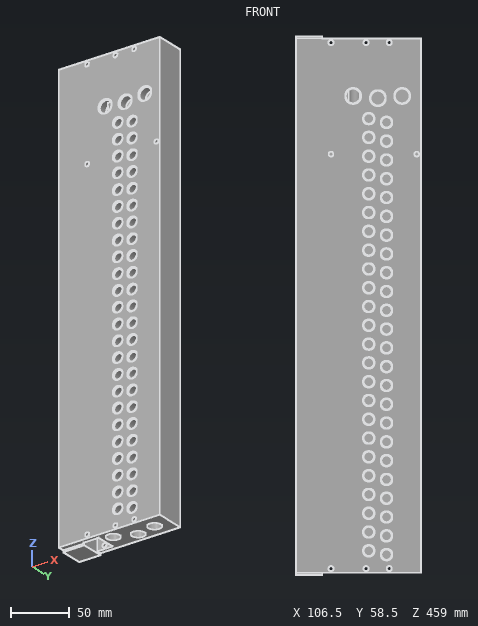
import cadquery as cq


LENGTH = 459.0
BODY_WIDTH = 106.5
BODY_DEPTH = 30.0
END_PAD_HEIGHT = 2.0
BODY_BOTTOM = END_PAD_HEIGHT
BODY_TOP = LENGTH - END_PAD_HEIGHT

CHANNEL_LEFT = 22.5
CHANNEL_RIGHT = 38.5
CHANNEL_FRONT = 5.0
CHANNEL_BACK = 25.2

END_PAD_WIDTH = CHANNEL_LEFT
END_PAD_FRONT = 6.5

BORE_CENTERS = [(49.5, 11.0), (69.8, 19.5), (90.0, 15.0)]
BORE_DIAMETER = 9.5
PORT_DIAMETER = 13.0
PORT_DEPTH = 11.5

UPPER_HOLE_Z = 408.0
MIDDLE_HOLE_DROP = 2.0
LARGE_HOLE_CENTERS = [(48.5, UPPER_HOLE_Z), (69.8, UPPER_HOLE_Z - MIDDLE_HOLE_DROP), (90.5, UPPER_HOLE_Z)]
LARGE_HOLE_DIAMETER = 12.5
FRONT_HOLE_DEPTH = 10.0

MOUTH_DEPTH = 1.5
MOUTH_EXTRA_DIAMETER = 1.5

OUTLET_COLUMNS = [(62.0, 389.0), (77.0, 385.5)]
OUTLET_COUNT = 24
OUTLET_COLUMN_SPAN = 368.0
OUTLET_PITCH = OUTLET_COLUMN_SPAN / (OUTLET_COUNT - 1)
OUTLET_DIAMETER = 8.5

SCREW_DIAMETER = 4.0
SCREW_EDGE_DISTANCE = 3.5
MOUNT_SCREW_XS = [30.0, 59.5, 79.5]
BLIND_SCREW_XS = [30.0, 103.0]
BLIND_SCREW_Z = 358.5
BLIND_SCREW_DEPTH = 4.5

BOX_LEFT = 0.5
BOX_RIGHT = 86.0
BOX_BOTTOM = 395.0
BOX_TOP = 448.5
BOX_BACK = 44.0
BOX_CORNER_X = 2.0
BOX_TOP_CORNER_Z = 2.8
BOX_BOTTOM_CORNER_Z = 2.0

PLATE_BOTTOM = 404.5
PLATE_TOP = 439.0
PLATE_BACK = 45.5
PLUG_X = 25.2
PLUG_Z = 419.0
FLANGE_DIAMETER = 16.5
PLATE_WIDTH = FLANGE_DIAMETER
FLANGE_BACK = 46.5
PLUG_DIAMETER = 12.5
PLUG_BACK = 58.5
PLUG_CHAMFER = 1.5


def block(x_range, y_range, z_range):
    """Box spanning the given (start, end) pairs."""
    spans = (x_range, y_range, z_range)
    sizes = [end - start for start, end in spans]
    corner = tuple(start for start, end in spans)
    return cq.Workplane("XY").box(*sizes, centered=False).translate(corner)


def rods_along_y(centers, diameter, start, end):
    """Round rods between two Y positions, at the given (x, z) centers."""
    return (
        cq.Workplane("XZ", origin=(0, start, 0))
        .pushPoints(centers)
        .circle(diameter / 2)
        .extrude(start - end)
    )


def rods_along_z(centers, diameter, start, end):
    """Round rods between two Z positions, at the given (x, y) centers."""
    return (
        cq.Workplane("XY", origin=(0, 0, start))
        .pushPoints(centers)
        .circle(diameter / 2)
        .extrude(end - start)
    )


def make_body():
    body = block((0, BODY_WIDTH), (0, BODY_DEPTH), (BODY_BOTTOM, BODY_TOP))
    pads = block((0, END_PAD_WIDTH), (END_PAD_FRONT, BODY_DEPTH), (0, LENGTH))
    return body.union(pads)


def cut_lengthwise_passages(body):
    channel = block((CHANNEL_LEFT, CHANNEL_RIGHT), (CHANNEL_FRONT, CHANNEL_BACK), (0, LENGTH))
    bores = rods_along_z(BORE_CENTERS, BORE_DIAMETER, 0, LENGTH)
    lower_ports = rods_along_z(BORE_CENTERS, PORT_DIAMETER, 0, BODY_BOTTOM + PORT_DEPTH)
    upper_ports = rods_along_z(BORE_CENTERS, PORT_DIAMETER, BODY_TOP - PORT_DEPTH, LENGTH)
    return body.cut(channel).cut(bores).cut(lower_ports).cut(upper_ports)


def cut_front_holes(body):
    outlet_centers = [
        (x, top_z - row * OUTLET_PITCH)
        for x, top_z in OUTLET_COLUMNS
        for row in range(OUTLET_COUNT)
    ]
    hole_groups = [
        (LARGE_HOLE_CENTERS, LARGE_HOLE_DIAMETER),
        (outlet_centers, OUTLET_DIAMETER),
    ]
    for centers, diameter in hole_groups:
        holes = rods_along_y(centers, diameter, 0, FRONT_HOLE_DEPTH)
        mouths = rods_along_y(centers, diameter + MOUTH_EXTRA_DIAMETER, 0, MOUTH_DEPTH)
        body = body.cut(holes).cut(mouths)
    return body


def cut_screw_holes(body):
    screw_rows = (BODY_BOTTOM + SCREW_EDGE_DISTANCE, BODY_TOP - SCREW_EDGE_DISTANCE)
    mount_centers = [(x, z) for x in MOUNT_SCREW_XS for z in screw_rows]
    blind_centers = [(x, BLIND_SCREW_Z) for x in BLIND_SCREW_XS]
    mount_holes = rods_along_y(mount_centers, SCREW_DIAMETER, 0, BODY_DEPTH)
    blind_holes = rods_along_y(blind_centers, SCREW_DIAMETER, 0, BLIND_SCREW_DEPTH)
    return body.cut(mount_holes).cut(blind_holes)


def make_connector_box():
    left_corner_x = BOX_LEFT + BOX_CORNER_X
    right_corner_x = BOX_RIGHT - BOX_CORNER_X
    lower_corner_z = BOX_BOTTOM + BOX_BOTTOM_CORNER_Z
    upper_corner_z = BOX_TOP - BOX_TOP_CORNER_Z
    outline = [
        (left_corner_x, BOX_BOTTOM),
        (right_corner_x, BOX_BOTTOM),
        (BOX_RIGHT, lower_corner_z),
        (BOX_RIGHT, upper_corner_z),
        (right_corner_x, BOX_TOP),
        (left_corner_x, BOX_TOP),
        (BOX_LEFT, upper_corner_z),
        (BOX_LEFT, lower_corner_z),
    ]
    housing = (
        cq.Workplane("XZ", origin=(0, BODY_DEPTH, 0))
        .polyline(outline)
        .close()
        .extrude(BODY_DEPTH - BOX_BACK)
    )
    plate = block(
        (PLUG_X - PLATE_WIDTH / 2, PLUG_X + PLATE_WIDTH / 2),
        (BOX_BACK, PLATE_BACK),
        (PLATE_BOTTOM, PLATE_TOP),
    )
    plug_center = [(PLUG_X, PLUG_Z)]
    flange = rods_along_y(plug_center, FLANGE_DIAMETER, PLATE_BACK, FLANGE_BACK)
    plug = rods_along_y(plug_center, PLUG_DIAMETER, FLANGE_BACK, PLUG_BACK)
    plug = plug.faces(">Y").chamfer(PLUG_CHAMFER)
    return housing.union(plate).union(flange).union(plug)


manifold = cut_screw_holes(cut_front_holes(cut_lengthwise_passages(make_body())))
result = manifold.union(make_connector_box())